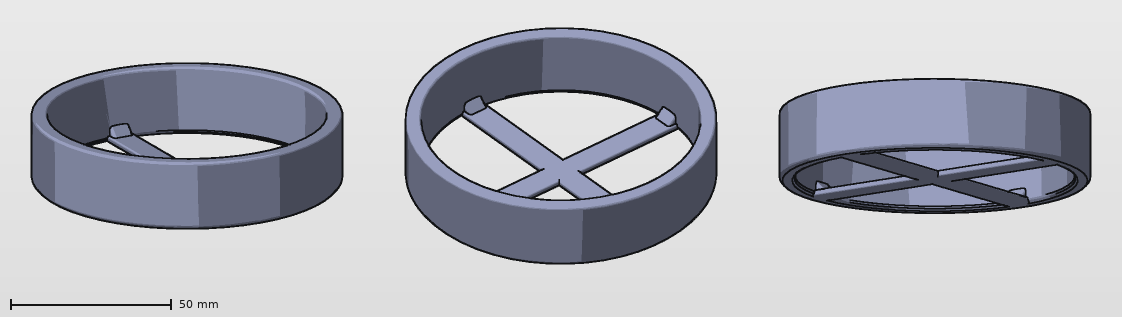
import cadquery as cq

outer_diameter = 97
inner_diameter = 87.0
height = 22.0
top_round = 1.0
bottom_chamfer = 1.0
chamfer_blend = 1.0

bar_width = 8.5
bar_thickness = 1.9
bar_round = 0.6

gusset_count = 4
gusset_width = 6.9
gusset_reach = 3.1
gusset_rise = gusset_reach
gusset_round = 1.0

outer_radius = outer_diameter / 2
inner_radius = inner_diameter / 2
embed_radius = (outer_radius + inner_radius) / 2


def make_ring():
    ring = cq.Workplane("XY").circle(outer_radius).circle(inner_radius).extrude(height)
    ring = ring.faces(">Z").edges().fillet(top_round)
    ring = ring.faces("<Z").edges().chamfer(bottom_chamfer)
    blend_band = cq.selectors.BoxSelector(
        (-outer_radius, -outer_radius, bottom_chamfer / 2),
        (outer_radius, outer_radius, bottom_chamfer * 1.5),
    )
    return ring.edges("%CIRCLE").edges(blend_band).fillet(chamfer_blend)


def make_cross():
    length = 2 * embed_radius
    cross = cq.Workplane("XY").rect(length, bar_width).extrude(bar_thickness)
    cross = cross.union(cq.Workplane("XY").rect(bar_width, length).extrude(bar_thickness))
    long_edges = cq.selectors.BoxSelector(
        (-inner_radius, -inner_radius, -bar_thickness),
        (inner_radius, inner_radius, 2 * bar_thickness),
    )
    return cross.edges("#Z").edges(long_edges).fillet(bar_round)


def make_gusset():
    toe_radius = inner_radius - gusset_reach
    peak = bar_thickness + gusset_rise
    gusset = (
        cq.Workplane("XZ")
        .moveTo(toe_radius, bar_thickness)
        .lineTo(inner_radius, peak)
        .lineTo(embed_radius, peak)
        .lineTo(embed_radius, bar_thickness)
        .close()
        .extrude(gusset_width / 2, both=True)
    )
    slope_centre = (toe_radius + gusset_reach / 2, 0, bar_thickness + gusset_rise / 2)
    sloped_face = gusset.faces(cq.NearestToPointSelector(slope_centre))
    return sloped_face.edges("#Y").fillet(gusset_round)


gusset = make_gusset()
result = make_ring().union(make_cross())
for index in range(gusset_count):
    angle = index * 360 / gusset_count
    result = result.union(gusset.rotate((0, 0, 0), (0, 0, 1), angle))